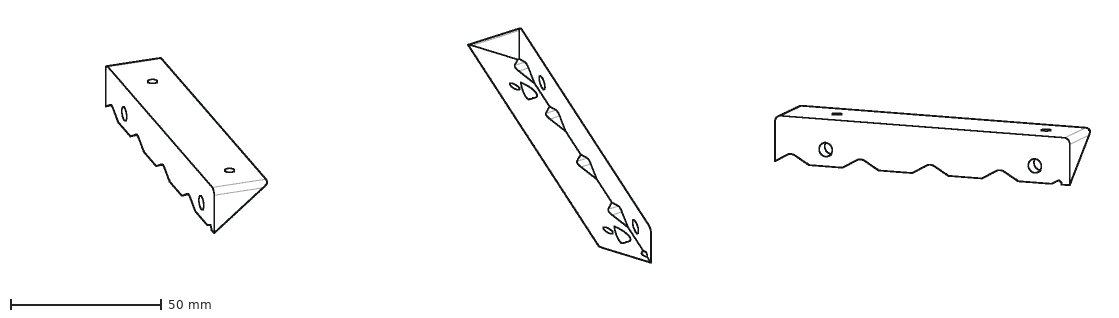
import cadquery as cq
import math

notch_pitch = 25.0
notch_count = 4
first_notch_x = 5.7
notch_half_width = 6.5
notch_slope = math.tan(math.radians(30))
notch_tip_radius = 3.0

length = first_notch_x + notch_count * notch_pitch
depth = 19.0
height = 16.0
back_lip = 0.8
end_fillet = 2.0

end_wall = 3.0
end_notch_radius = 1.0

socket_xs = [first_notch_x + (i + 0.5) * notch_pitch for i in (0, notch_count - 1)]
socket_z = 5.7
socket_diameter = 4.7
socket_depth = 5.0
boss_diameter = 8.0
boss_length = 6.0

screw_diameter = 3.2
screw_y = 10.0


def wedge():
    """Bar with a vertical front, a flat top, a sloping underside and rounded upper ends."""
    side = [(0, 0), (0, height), (depth, height), (depth, height - back_lip)]
    bar = cq.Workplane("YZ").polyline(side).close().extrude(length)
    return bar.edges("|Y and >Z").fillet(end_fillet)


def channel(outline, tip_radius):
    """Cutter along Y from an XZ outline, with its topmost edge rounded."""
    cutter = cq.Workplane("XZ").polyline(outline).close().extrude(-depth)
    return cutter.edges("|Y and >Z").fillet(tip_radius)


def notch(x):
    """Cutter for a full V notch centred on x."""
    apex_z = notch_half_width * notch_slope
    outline = [(x - notch_half_width, 0), (x, apex_z), (x + notch_half_width, 0)]
    return channel(outline, notch_tip_radius)


def end_notch():
    """Cutter for the last notch, which rises until it meets the end wall."""
    start_x = length - notch_half_width
    stop_x = length - end_wall
    stop_z = (stop_x - start_x) * notch_slope
    return channel([(start_x, 0), (stop_x, stop_z), (stop_x, 0)], end_notch_radius)


def front_cylinders(diameter, reach):
    """Cylinders at the socket positions, reaching back from the front face."""
    centres = [(x, socket_z) for x in socket_xs]
    return cq.Workplane("XZ").pushPoints(centres).circle(diameter / 2).extrude(-reach)


def screw_holes():
    """Cutters for the vertical holes through the bar."""
    centres = [(x, screw_y) for x in socket_xs]
    return cq.Workplane("XY").pushPoints(centres).circle(screw_diameter / 2).extrude(height)


result = wedge()
for i in range(notch_count):
    result = result.cut(notch(first_notch_x + i * notch_pitch))
result = result.cut(end_notch())

result = result.union(front_cylinders(boss_diameter, boss_length))
result = result.cut(front_cylinders(socket_diameter, socket_depth))
result = result.cut(screw_holes())